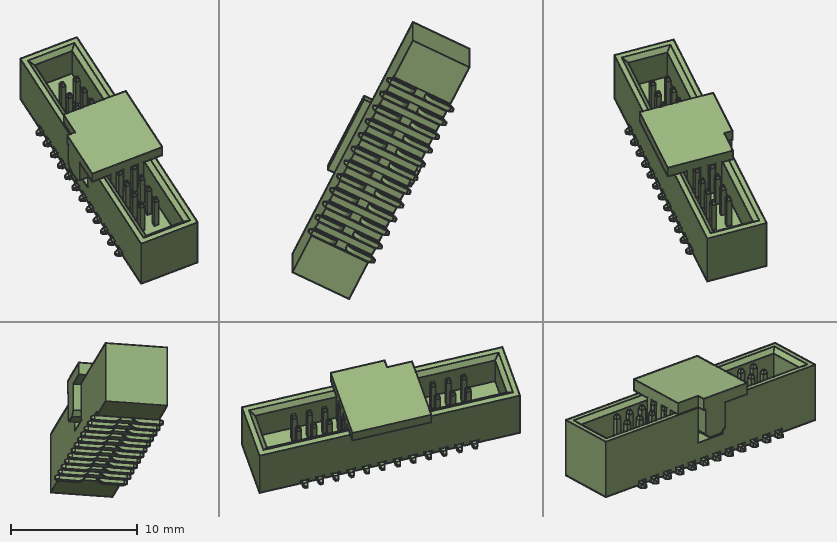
import cadquery as cq

columns = 12
pitch = 1.27
row_y = pitch / 2
pin_size = 0.4
pin_top_z = 5.2
bend_outer_radius = 0.635
bend_inner_radius = bend_outer_radius - pin_size
foot_end_y = 2.9
tip_length = 0.28
tip_size = 0.2

housing_length = 21.44
housing_width = 5.0
housing_bottom_z = 0.3
housing_top_z = 5.2
rim_thickness = 0.45
wall_thickness = 0.85
rim_chamfer_depth = 0.35
cavity_floor_z = 2.1
cavity_length = housing_length - 2 * wall_thickness
cavity_width = housing_width - 2 * wall_thickness
key_slot_width = 2.5
foot_groove_width = 0.7
foot_groove_height = 0.32

plate_length = 6.5
plate_width = 6.2
plate_thickness = 1.0
plate_front_y = -plate_width / 2
notch_edge_x = -1.2
lip_depth = 0.7
lip_back_y = plate_front_y + lip_depth
block_clearance = 0.2
block_width = cavity_width - 2 * block_clearance
block_bottom_z = 2.2
block_chamfer = 0.1
pin_hole_size = 0.65
pin_hole_lead_in = 0.35
tab_width = 2.0
tab_bottom_z = 2.6
tab_chamfer = 0.4

column_xs = [(i - (columns - 1) / 2) * pitch for i in range(columns)]


def box(x_min, x_max, y_min, y_max, z_min, z_max):
    """Box between two opposite corners."""
    size = (x_max - x_min, y_max - y_min, z_max - z_min)
    return cq.Workplane("XY").box(*size, centered=False).translate((x_min, y_min, z_min))


def make_tip():
    """Four-sided tapered tip, standing on Z = 0."""
    return (
        cq.Workplane("XY")
        .rect(pin_size, pin_size)
        .workplane(offset=tip_length)
        .rect(tip_size, tip_size)
        .loft(ruled=True)
    )


def make_contact():
    """L-shaped contact of the rear row at X = 0: upright pin, rounded bend and foot along +Y."""
    inner_y = row_y - pin_size / 2
    outer_y = row_y + pin_size / 2
    bend_y = inner_y + bend_outer_radius
    bend_z = bend_outer_radius
    shoulder_z = pin_top_z - tip_length
    shoulder_y = foot_end_y - tip_length
    bar = (
        cq.Workplane("YZ")
        .moveTo(inner_y, shoulder_z)
        .lineTo(inner_y, bend_z)
        .radiusArc((bend_y, 0), -bend_outer_radius)
        .lineTo(shoulder_y, 0)
        .lineTo(shoulder_y, pin_size)
        .lineTo(bend_y, pin_size)
        .radiusArc((outer_y, bend_z), bend_inner_radius)
        .lineTo(outer_y, shoulder_z)
        .close()
        .extrude(pin_size / 2, both=True)
    )
    pin_tip = make_tip().translate((0, row_y, shoulder_z))
    foot_tip = make_tip().rotate((0, 0, 0), (1, 0, 0), -90).translate((0, shoulder_y, pin_size / 2))
    return bar.union(pin_tip).union(foot_tip)


def make_housing():
    """Open-topped shroud with a bevelled rim, a key slot in its front wall and grooves for the feet."""
    half_length = housing_length / 2
    half_width = housing_width / 2
    body = box(-half_length, half_length, -half_width, half_width, housing_bottom_z, housing_top_z)
    cavity = (
        cq.Workplane("XY", origin=(0, 0, cavity_floor_z))
        .rect(cavity_length, cavity_width)
        .extrude(housing_top_z - cavity_floor_z)
    )
    rim_bevel = (
        cq.Workplane("XY", origin=(0, 0, housing_top_z - rim_chamfer_depth))
        .rect(cavity_length, cavity_width)
        .workplane(offset=rim_chamfer_depth)
        .rect(housing_length - 2 * rim_thickness, housing_width - 2 * rim_thickness)
        .loft(ruled=True)
    )
    key_slot = box(-key_slot_width / 2, key_slot_width / 2, -half_width, 0, cavity_floor_z, housing_top_z)
    body = body.cut(cavity).cut(rim_bevel).cut(key_slot)

    groove_half = foot_groove_width / 2
    groove_top = housing_bottom_z + foot_groove_height
    for x in column_xs:
        groove = box(x - groove_half, x + groove_half, -half_width, half_width, housing_bottom_z, groove_top)
        body = body.cut(groove)
    return body


def make_header():
    """Housing with both rows of contacts set in its floor, as one solid."""
    header = make_housing()
    rear_contact = make_contact()
    front_contact = rear_contact.mirror("XZ")
    for x in column_xs:
        header = header.union(rear_contact.translate((x, 0, 0)))
        header = header.union(front_contact.translate((x, 0, 0)))
    return header


def make_pin_hole():
    """Space left around one pin: a square shaft with a 45-degree lead-in, its mouth on Z = 0."""
    mouth_size = pin_hole_size + 2 * pin_hole_lead_in
    shaft = cq.Workplane("XY").rect(pin_hole_size, pin_hole_size).extrude(housing_top_z - block_bottom_z)
    lead_in = (
        cq.Workplane("XY")
        .rect(mouth_size, mouth_size)
        .workplane(offset=pin_hole_lead_in)
        .rect(pin_hole_size, pin_hole_size)
        .loft(ruled=True)
    )
    return shaft.union(lead_in)


def make_cap():
    """Flat plate on the rim, with a block down into the cavity and a tab through the key slot."""
    half_length = plate_length / 2
    block_half_width = block_width / 2
    tab_half_width = tab_width / 2
    plate_top_z = housing_top_z + plate_thickness
    plate = box(-half_length, half_length, lip_back_y, plate_width / 2, housing_top_z, plate_top_z)
    lip = box(notch_edge_x, half_length, plate_front_y, lip_back_y, housing_top_z, plate_top_z)
    block = (
        box(-half_length, half_length, -block_half_width, block_half_width, block_bottom_z, housing_top_z)
        .edges("|X and <Z")
        .chamfer(block_chamfer)
    )
    tab = (
        box(-tab_half_width, tab_half_width, plate_front_y, -block_half_width, tab_bottom_z, housing_top_z)
        .edges("|Y and <Z")
        .chamfer(tab_chamfer)
    )
    pin_hole = make_pin_hole()
    for x in column_xs:
        for y in (-row_y, row_y):
            block = block.cut(pin_hole.translate((x, y, block_bottom_z)))
    return plate.union(lip).union(block).union(tab)


header = make_header()
cap = make_cap()

result = cq.Compound.makeCompound([header.val(), cap.val()])